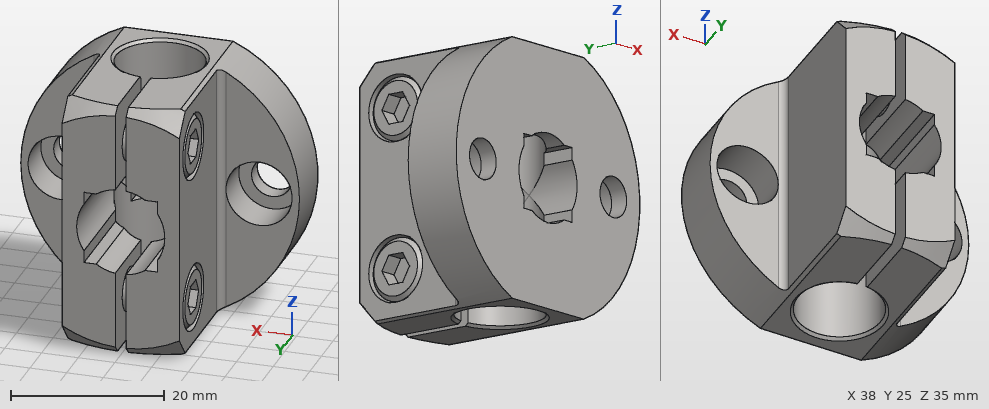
import cadquery as cq

body_diameter = 38.0
body_length = 25.0
body_height = 35.0
rear_chamfer = 2.5

flange_thickness = 8.0
block_width = 16.0
root_fillet = 1.0

bore_diameter = 12.0
bore_chamfer = 0.4
square_side = 10.0
slot_width = 1.5

mount_hole_diameter = 5.5
mount_hole_offset = 13.5
mount_counterbore_diameter = 9.0
mount_web_thickness = 2.5

screw_offset = 10.75
screw_rear_distance = 6.0
shank_diameter = 6.0
head_diameter = 8.5
head_edge_chamfer = 0.6
counterbore_diameter = 9.0
counterbore_depth = 6.0
socket_across_flats = 4.0
socket_depth = 2.5
screw_end_wall = 2.0

block_side = block_width / 2
screw_y = body_length - screw_rear_distance


def y_cylinder(diameter, length):
    """Cylinder on the Y axis, starting at Y = 0."""
    return cq.Workplane("XZ").circle(diameter / 2).extrude(-length)


def make_body():
    """Chamfered disc with two flats, milled down to a block behind the flange."""
    body = y_cylinder(body_diameter, body_length).faces(">Y").chamfer(rear_chamfer)
    body = body.intersect(cq.Workplane("XY").box(body_diameter, 2 * body_length, body_height))
    side_cut_width = body_diameter / 2 - block_side
    for side in (-1, 1):
        cut = (
            cq.Workplane("XY")
            .box(side_cut_width, body_length, body_diameter)
            .translate((
                side * (block_side + side_cut_width / 2),
                flange_thickness + body_length / 2,
                0,
            ))
        )
        inner_side = "<X" if side > 0 else ">X"
        cut = cut.faces("<Y").edges(inner_side).fillet(root_fillet)
        body = body.cut(cut)
    return body


def cut_openings(body):
    """Cut the axial openings, the vertical clamping bore, its slot and the mounting holes."""
    body = body.cut(y_cylinder(bore_diameter, body_length))
    body = body.cut(cq.Workplane("XZ").rect(square_side, square_side).extrude(-body_length))

    clamp_bore = (
        cq.Workplane("XY")
        .center(0, flange_thickness)
        .circle(bore_diameter / 2)
        .extrude(body_height / 2, both=True)
    )
    body = body.cut(clamp_bore)
    bore_mouth = cq.Solid.makeCone(
        bore_diameter / 2 + bore_chamfer,
        bore_diameter / 2,
        bore_chamfer,
        cq.Vector(0, flange_thickness, -body_height / 2),
        cq.Vector(0, 0, 1),
    )
    lower_mouth = cq.Workplane("XY").add(bore_mouth)
    body = body.cut(lower_mouth).cut(lower_mouth.mirror("XY"))

    slot_length = body_length - flange_thickness
    slot = (
        cq.Workplane("XY")
        .box(slot_width, slot_length, body_height)
        .translate((0, flange_thickness + slot_length / 2, 0))
    )
    body = body.cut(slot)

    for side in (-1, 1):
        hole = y_cylinder(mount_hole_diameter, flange_thickness)
        counterbore = y_cylinder(mount_counterbore_diameter, flange_thickness - mount_web_thickness)
        hole = hole.union(counterbore.translate((0, mount_web_thickness, 0)))
        body = body.cut(hole.translate((side * mount_hole_offset, 0, 0)))
    return body


def make_screw():
    """Socket head screw along X, with its head flush with the -X side of the block."""
    head = cq.Workplane("YZ").circle(head_diameter / 2).extrude(counterbore_depth)
    head = head.faces("<X").chamfer(head_edge_chamfer)
    shank = cq.Workplane("YZ").circle(shank_diameter / 2).extrude(block_width - screw_end_wall)
    socket = (
        cq.Workplane("YZ")
        .polygon(6, socket_across_flats, circumscribed=True)
        .extrude(socket_depth)
        .rotate((0, 0, 0), (1, 0, 0), 90)
    )
    return head.union(shank).cut(socket).translate((-block_side, 0, 0))


def add_screws(body):
    """Counterbore the block and join a screw at each height."""
    counterbore = (
        cq.Workplane("YZ")
        .circle(counterbore_diameter / 2)
        .extrude(counterbore_depth)
        .translate((-block_side, 0, 0))
    )
    screw = make_screw()
    for side in (-1, 1):
        position = (0, screw_y, side * screw_offset)
        body = body.cut(counterbore.translate(position)).union(screw.translate(position))
    return body


result = add_screws(cut_openings(make_body()))